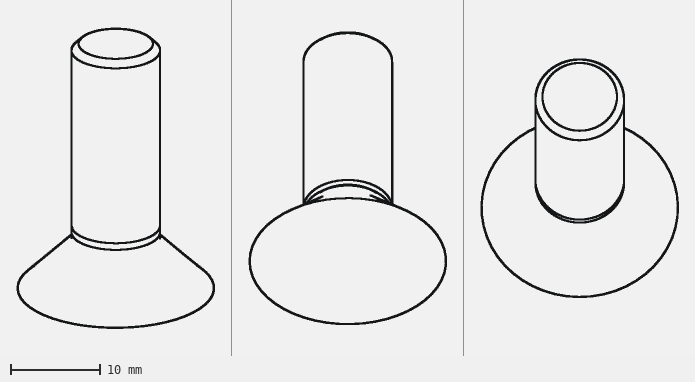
import cadquery as cq
import math

total_length = 30.0
head_diameter = 22.08
shank_diameter = 10.0
cone_half_angle = math.radians(45)
neck_fillet_radius = 0.4
thread_start_z = 7.7
chamfer = 0.8

head_radius = head_diameter / 2
shank_radius = shank_diameter / 2
chamfered_radius = shank_radius - chamfer
collar_top_z = thread_start_z - chamfer
tip_chamfer_z = total_length - chamfer

corner_z = (head_radius - shank_radius) / math.tan(cone_half_angle)
tangent_length = neck_fillet_radius * math.tan(cone_half_angle / 2)
fillet_center_radius = shank_radius + neck_fillet_radius
fillet_top_z = corner_z + tangent_length


def fillet_point(angle):
    """Point on the neck fillet at an angle below its tangency with the collar."""
    return (
        fillet_center_radius - neck_fillet_radius * math.cos(angle),
        fillet_top_z - neck_fillet_radius * math.sin(angle),
    )


half_section = (
    cq.Workplane("XZ")
    .lineTo(head_radius, 0)
    .lineTo(*fillet_point(cone_half_angle))
    .threePointArc(fillet_point(cone_half_angle / 2), (shank_radius, fillet_top_z))
    .lineTo(shank_radius, collar_top_z)
    .lineTo(chamfered_radius, thread_start_z)
    .lineTo(shank_radius, thread_start_z)
    .lineTo(shank_radius, tip_chamfer_z)
    .lineTo(chamfered_radius, total_length)
    .lineTo(0, total_length)
    .close()
)

result = half_section.revolve(360, (0, 0), (0, 1))